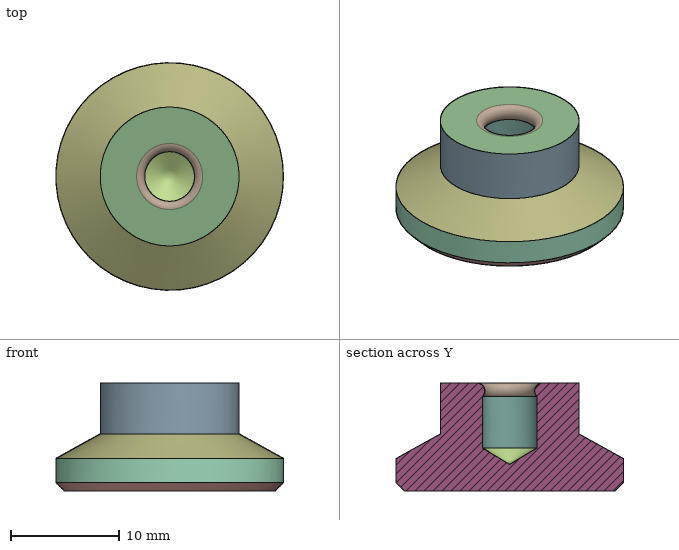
import cadquery as cq
import math

outer_radius = 10.5
height = 10.0

rim_top = 3.02
bottom_chamfer = 0.8

hub_radius = 6.4
shoulder_angle = 29.0
hub_base = rim_top + (outer_radius - hub_radius) * math.tan(math.radians(shoulder_angle))

throat_radius = 2.29
lip_round = 0.75
hole_radius = 2.5
hole_depth = 6.0
drill_point_angle = 118.0
hole_floor = height - hole_depth
drill_tip = hole_floor - hole_radius / math.tan(math.radians(drill_point_angle / 2))

mouth_radius = throat_radius + lip_round
lip_centre = height - lip_round
arc_step = lip_round * math.sin(math.radians(45))
lip_bottom = lip_centre - math.sqrt(lip_round**2 - (mouth_radius - hole_radius) ** 2)

section = (
    cq.Workplane("XZ")
    .lineTo(outer_radius - bottom_chamfer, 0)
    .lineTo(outer_radius, bottom_chamfer)
    .lineTo(outer_radius, rim_top)
    .lineTo(hub_radius, hub_base)
    .lineTo(hub_radius, height)
    .lineTo(mouth_radius, height)
    .threePointArc(
        (mouth_radius - arc_step, lip_centre + arc_step),
        (throat_radius, lip_centre),
    )
    .tangentArcPoint((hole_radius, lip_bottom), relative=False)
    .lineTo(hole_radius, hole_floor)
    .lineTo(0, drill_tip)
    .close()
)

result = section.revolve(360, (0, 0, 0), (0, 1, 0))